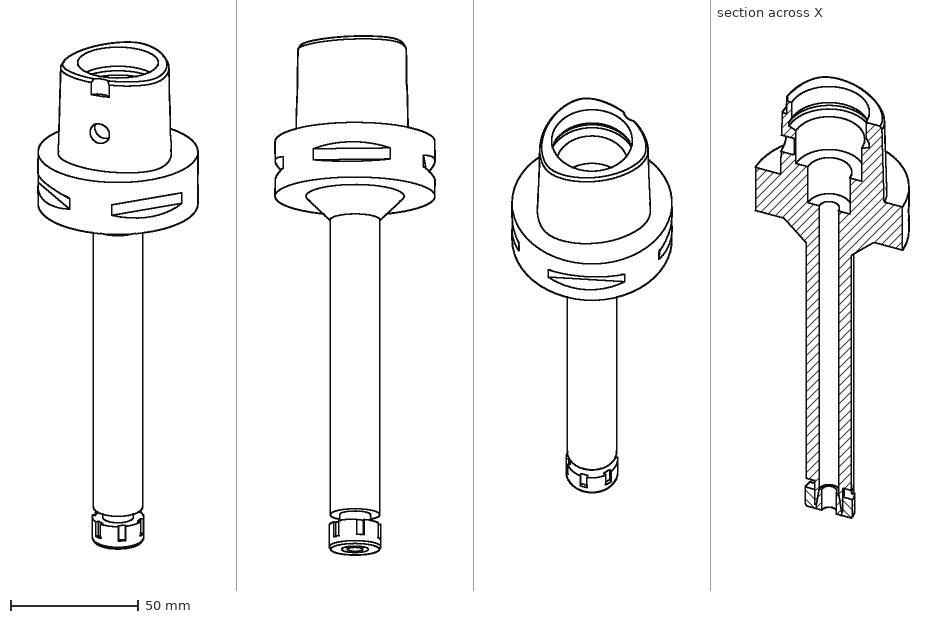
import cadquery as cq
import math

TOTAL_LENGTH = 203.0

FLANGE_RADIUS = 31.5
FLANGE_TOP = 165.0
FLANGE_BOTTOM = 143.0

GROOVE_COUNT = 4
GROOVE_START_ANGLE = 45.0
GROOVE_FLOOR_DISTANCE = 27.6
GROOVE_FLOOR_HEIGHT = 4.5
GROOVE_RIM_HEIGHT = 8.0
GROOVE_Z = 153.3

SHANK_BASE_DIAMETER = 44.5
SHANK_TAPER = 1 / 20
LOBE_COUNT = 3
LOBE_HEIGHT = 1.5
LOBE_POINTS = 36
LOBE_DIRECTION = math.pi / 2
SHANK_CHAMFER_HEIGHT = 1.5
SHANK_CHAMFER_WIDTH = 0.8

NOTCH_RADIUS = 5.0
NOTCH_INNERMOST = 18.0
NOTCH_DEPTH = 6.5
SIDE_HOLE_DIAMETER = 8.1
SIDE_HOLE_Z = 180.7
SIDE_HOLE_FLOOR = 15.0

MOUTH_RADIUS = 15.8
UNDERCUT_RADIUS = 17.0
UNDERCUT_TOP_DEPTH = 8.1
UNDERCUT_FLANK_DEPTH = 10.5
UNDERCUT_BOTTOM_DEPTH = 12.4
BORE_RADIUS = 14.0
BORE_CONE_END_DEPTH = 13.8
BORE_DEPTH = 30.5
SCREW_HOLE_RADIUS = 9.0
SCREW_HOLE_DEPTH = 48.7
COOLANT_RADIUS = 4.0

BAR_RADIUS = 9.7
BAR_BOTTOM = 14.0
CONE_TOP_RADIUS = 19.3
NOSE_RADIUS = 6.0
NOSE_BOTTOM = 2.0

NUT_RADIUS = 10.2
NUT_HEIGHT = 9.7
NUT_CHAMFER_HEIGHT = 1.0
NUT_CHAMFER_WIDTH = 0.6
NUT_SLOT_COUNT = 6
NUT_SLOT_WIDTH = 2.8
NUT_SLOT_DEPTH = 1.2
NUT_SLOT_BOTTOM = 3.7

COLLET_FRONT_RADIUS = 5.3
COLLET_BORE_RADIUS = 3.0
COLLET_HALF_ANGLE = 8.0

COLLET_NARROWING = COLLET_FRONT_RADIUS - COOLANT_RADIUS
COLLET_TOP = NOSE_BOTTOM + COLLET_NARROWING / math.tan(math.radians(COLLET_HALF_ANGLE))


def turned(outline):
    """Revolve a closed (radius, Z) outline around the Z axis."""
    return cq.Workplane("XZ").polyline(outline).close().revolve(360, (0, 0, 0), (0, 1, 0))


def cylinder(radius, bottom, top):
    return cq.Workplane("XY").workplane(offset=bottom).circle(radius).extrude(top - bottom)


def lobed_point(mean_radius, angle):
    """Point on a curve whose tangent lies at a distance varying as a cosine, once per lobe."""
    phase = LOBE_COUNT * (angle - LOBE_DIRECTION)
    reach = mean_radius + LOBE_HEIGHT * math.cos(phase)
    slide = -LOBE_COUNT * LOBE_HEIGHT * math.sin(phase)
    x = reach * math.cos(angle) - slide * math.sin(angle)
    y = reach * math.sin(angle) + slide * math.cos(angle)
    return (x, y)


def lobed_outline(mean_radius):
    step = 2 * math.pi / LOBE_POINTS
    return [lobed_point(mean_radius, LOBE_DIRECTION + index * step) for index in range(LOBE_POINTS)]


def lobed_frustum(bottom, bottom_radius, top, top_radius):
    return (
        cq.Workplane("XY").workplane(offset=bottom)
        .spline(lobed_outline(bottom_radius), periodic=True).close()
        .workplane(offset=top - bottom)
        .spline(lobed_outline(top_radius), periodic=True).close()
        .loft(ruled=True)
    )


def make_shank():
    base_radius = SHANK_BASE_DIAMETER / 2
    chamfer_start = TOTAL_LENGTH - SHANK_CHAMFER_HEIGHT
    rim_radius = base_radius - SHANK_TAPER * (chamfer_start - FLANGE_TOP) / 2
    body = lobed_frustum(FLANGE_TOP, base_radius, chamfer_start, rim_radius)
    chamfer = lobed_frustum(chamfer_start, rim_radius, TOTAL_LENGTH, rim_radius - SHANK_CHAMFER_WIDTH)
    return body.union(chamfer)


def make_lower_holder():
    """Flange, cone, extension bar and nose."""
    cone_bottom = FLANGE_BOTTOM - (CONE_TOP_RADIUS - BAR_RADIUS)
    return turned([
        (0, FLANGE_TOP),
        (FLANGE_RADIUS, FLANGE_TOP),
        (FLANGE_RADIUS, FLANGE_BOTTOM),
        (CONE_TOP_RADIUS, FLANGE_BOTTOM),
        (BAR_RADIUS, cone_bottom),
        (BAR_RADIUS, BAR_BOTTOM),
        (NOSE_RADIUS, BAR_BOTTOM),
        (NOSE_RADIUS, NOSE_BOTTOM),
        (0, NOSE_BOTTOM),
    ])


def make_holder_bore():
    """Shank bore, screw hole, coolant hole and the tapered collet seat as one cutter."""
    bore_floor = TOTAL_LENGTH - BORE_DEPTH
    screw_hole_floor = TOTAL_LENGTH - SCREW_HOLE_DEPTH
    return turned([
        (0, TOTAL_LENGTH),
        (MOUTH_RADIUS, TOTAL_LENGTH),
        (MOUTH_RADIUS, TOTAL_LENGTH - UNDERCUT_TOP_DEPTH),
        (UNDERCUT_RADIUS, TOTAL_LENGTH - UNDERCUT_FLANK_DEPTH),
        (UNDERCUT_RADIUS, TOTAL_LENGTH - UNDERCUT_BOTTOM_DEPTH),
        (BORE_RADIUS, TOTAL_LENGTH - BORE_CONE_END_DEPTH),
        (BORE_RADIUS, bore_floor),
        (SCREW_HOLE_RADIUS, bore_floor),
        (SCREW_HOLE_RADIUS, screw_hole_floor),
        (COOLANT_RADIUS, screw_hole_floor),
        (COOLANT_RADIUS, COLLET_TOP),
        (COLLET_FRONT_RADIUS, NOSE_BOTTOM),
        (0, NOSE_BOTTOM),
    ])


def make_gripper_groove(angle):
    """Straight groove across the flange: flat floor, flanks opening outwards."""
    floor_half = GROOVE_FLOOR_HEIGHT / 2
    rim_half = GROOVE_RIM_HEIGHT / 2
    section = [
        (GROOVE_FLOOR_DISTANCE, GROOVE_Z - floor_half),
        (FLANGE_RADIUS, GROOVE_Z - rim_half),
        (FLANGE_RADIUS, GROOVE_Z + rim_half),
        (GROOVE_FLOOR_DISTANCE, GROOVE_Z + floor_half),
    ]
    groove = cq.Workplane("XZ").polyline(section).close().extrude(FLANGE_RADIUS, both=True)
    return groove.rotate((0, 0, 0), (0, 0, 1), angle)


def make_orientation_notch():
    notch = cylinder(NOTCH_RADIUS, TOTAL_LENGTH - NOTCH_DEPTH, TOTAL_LENGTH)
    return notch.translate((0, -NOTCH_INNERMOST - NOTCH_RADIUS, 0))


def make_side_hole():
    """Blind radial hole from -Y that stops short of the bore."""
    length = FLANGE_RADIUS - SIDE_HOLE_FLOOR
    return (
        cq.Workplane("XZ", origin=(0, -SIDE_HOLE_FLOOR, SIDE_HOLE_Z))
        .circle(SIDE_HOLE_DIAMETER / 2).extrude(length)
    )


def make_holder():
    holder = make_lower_holder().union(make_shank())
    holder = holder.cut(make_holder_bore())
    for index in range(GROOVE_COUNT):
        holder = holder.cut(make_gripper_groove(GROOVE_START_ANGLE + index * 360 / GROOVE_COUNT))
    return holder.cut(make_orientation_notch()).cut(make_side_hole())


def make_nut_slot(angle):
    height = NUT_HEIGHT - NUT_SLOT_BOTTOM
    slot = cq.Workplane("XY").box(2 * NUT_SLOT_DEPTH, NUT_SLOT_WIDTH, height, centered=(True, True, False))
    return slot.translate((NUT_RADIUS, 0, NUT_SLOT_BOTTOM)).rotate((0, 0, 0), (0, 0, 1), angle)


def make_nut():
    """Slotted ring around the nose, with a lip around the collet below it."""
    nut = turned([
        (COLLET_FRONT_RADIUS, 0),
        (NUT_RADIUS - NUT_CHAMFER_WIDTH, 0),
        (NUT_RADIUS, NUT_CHAMFER_HEIGHT),
        (NUT_RADIUS, NUT_HEIGHT),
        (NOSE_RADIUS, NUT_HEIGHT),
        (NOSE_RADIUS, NOSE_BOTTOM),
        (COLLET_FRONT_RADIUS, NOSE_BOTTOM),
    ])
    for index in range(NUT_SLOT_COUNT):
        nut = nut.cut(make_nut_slot(index * 360 / NUT_SLOT_COUNT))
    return nut


def make_collet():
    """Tapered sleeve seated in the nose, flush with the nut at the front."""
    return turned([
        (COLLET_BORE_RADIUS, 0),
        (COLLET_FRONT_RADIUS, 0),
        (COLLET_FRONT_RADIUS, NOSE_BOTTOM),
        (COOLANT_RADIUS, COLLET_TOP),
        (COLLET_BORE_RADIUS, COLLET_TOP),
    ])


holder = make_holder()
nut = make_nut()
collet = make_collet()

result = cq.Compound.makeCompound([holder.val(), nut.val(), collet.val()])